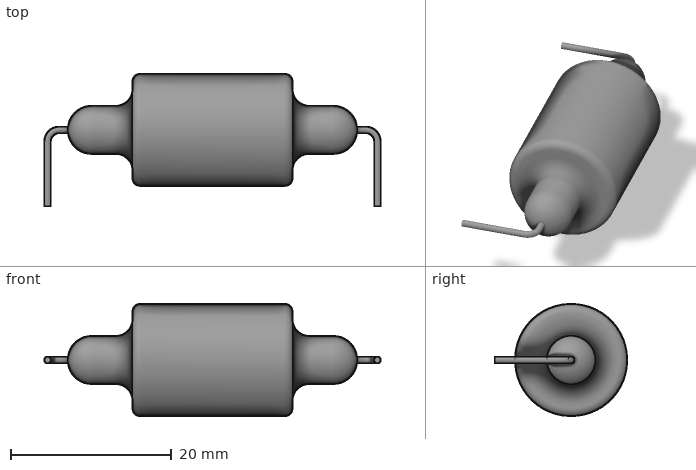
import cadquery as cq
import math

overall_length = 41.85
body_length = 19.9
body_radius = 7.0
body_edge_radius = 1.0
neck_radius = 3.0
neck_fillet = 2.0
glass_length = 36.0
wire_diameter = 0.85
wire_bend_radius = 1.45
lead_reach = 9.5

body_end = body_length / 2
glass_end = glass_length / 2
dome_start = glass_end - neck_radius
neck_start = body_end + neck_fillet
lead_x = (overall_length - wire_diameter) / 2
diagonal = math.sqrt(0.5)


def body():
    """Central cylinder with rounded end edges."""
    cylinder = cq.Workplane("YZ", origin=(-body_end, 0, 0)).circle(body_radius).extrude(body_length)
    return cylinder.edges("%CIRCLE").fillet(body_edge_radius)


def glass_tip():
    """Revolved +X tip: flared root, straight neck and domed end."""
    flare_radius = neck_radius + neck_fillet
    flare_mid = (
        neck_start - neck_fillet * diagonal,
        flare_radius - neck_fillet * diagonal,
    )
    dome_mid = (dome_start + neck_radius * diagonal, neck_radius * diagonal)
    profile = (
        cq.Workplane("XY")
        .moveTo(body_end, 0)
        .lineTo(body_end, flare_radius)
        .threePointArc(flare_mid, (neck_start, neck_radius))
        .lineTo(dome_start, neck_radius)
        .threePointArc(dome_mid, (glass_end, 0))
        .close()
    )
    return profile.revolve(360, (0, 0, 0), (1, 0, 0))


def lead():
    """Round wire leaving the +X dome and bending toward -Y."""
    bend_start = lead_x - wire_bend_radius
    bend_mid = (
        bend_start + wire_bend_radius * diagonal,
        -wire_bend_radius * (1 - diagonal),
    )
    path = (
        cq.Workplane("XY")
        .moveTo(dome_start, 0)
        .lineTo(bend_start, 0)
        .threePointArc(bend_mid, (lead_x, -wire_bend_radius))
        .lineTo(lead_x, -lead_reach)
    )
    section = cq.Workplane("YZ", origin=(dome_start, 0, 0)).circle(wire_diameter / 2)
    return section.sweep(path)


end = glass_tip().union(lead())
result = body().union(end).union(end.mirror("YZ"))